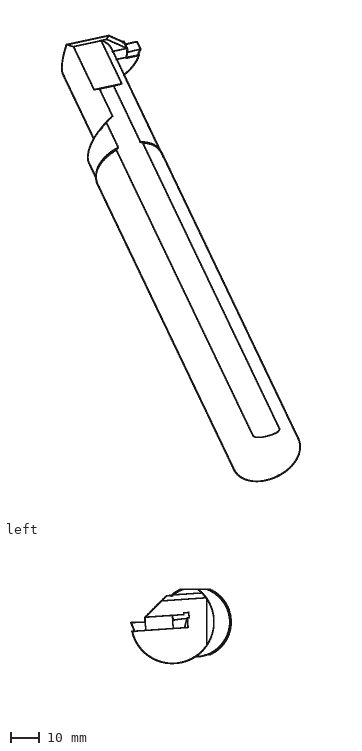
import cadquery as cq
import math

LENGTH = 200.0
SHANK_RADIUS = 25.0 / 2
SHANK_START = 54.5
SHANK_HALF_HEIGHT = 23.0 / 2
END_FILLET = 2.5
NECK_RADIUS = 12.2
NECK_Y = 0.2
STEP_LENGTH = 0.8

HEAD_RADIUS = 29.0 / 2
HEAD_Y = 8.0
FACE_X = 0.5
FLANGE_THICKNESS = 3.0
TRIM_END = 40.0
FACE_BEVEL = 2.5
SHOULDER_Y = 10.8
SHOULDER_Z = 8.5

TILT = 4.0
RELIEF_Z = 10.0
RELIEF_START = 3.5
RELIEF_END = 25.0
RELIEF_RAMP = 2.0
FRONT_DROP = 1.8

TIP_Y = HEAD_Y + HEAD_RADIUS
INSERT_Z = -0.3
INSERT_HALF_LENGTH = 9.8
INSERT_HALF_HEIGHT = 4.5 / 2
BODY_HALF_LENGTH = 4.8
TIP_V = 0.8
TIP_LAND = 2.5
BREAKER_V = 0.5
BREAKER_SLOPE = 0.2
TIP_RELIEF = 1.0
TIP_WIDTH = 3.8
POCKET_GAP = 0.2
CORNER_RELIEF = 1.8
CORNER_OVERSHOOT = 0.5

MARGIN = 40.0
tilt_angle = math.radians(TILT)
insert_y = TIP_Y - INSERT_HALF_LENGTH * math.cos(tilt_angle) - TIP_V * math.sin(tilt_angle)


def cylinder(radius, start, end, y=0.0):
    """Cylinder along X."""
    return cq.Workplane("YZ", origin=(start, y, 0)).circle(radius).extrude(end - start)


def place_insert(shape):
    """Tilt a shape from the u, v frame of the insert into the head."""
    return shape.rotate((0, 0, 0), (1, 0, 0), -TILT).translate((0, insert_y, INSERT_Z))


def make_shank():
    shank = cylinder(SHANK_RADIUS, SHANK_START, LENGTH)
    shank = shank.faces(">X").edges().fillet(END_FILLET)
    shank = shank.faces("<X").edges().chamfer(STEP_LENGTH, SHANK_RADIUS - NECK_RADIUS)
    flats = cq.Workplane("XY").box(
        2 * LENGTH + MARGIN, 2 * MARGIN, 2 * SHANK_HALF_HEIGHT)
    return shank.intersect(flats)


def make_neck():
    """Neck inside both the bar circle and the head circle, with a 45 degree flare."""
    neck = cylinder(NECK_RADIUS, FACE_X, SHANK_START, NECK_Y)
    flare = SHANK_START - TRIM_END
    envelope = (
        cq.Workplane("XY")
        .polyline([(0, 0), (0, HEAD_RADIUS), (TRIM_END, HEAD_RADIUS),
                   (SHANK_START, HEAD_RADIUS + flare), (SHANK_START, 0)])
        .close()
        .revolve(360, (0, 0, 0), (1, 0, 0))
        .translate((0, HEAD_Y, 0))
    )
    top_trim = cq.Workplane("XY", origin=(0, 0, SHANK_HALF_HEIGHT)).rect(
        2 * LENGTH, 2 * MARGIN).extrude(MARGIN)
    return neck.intersect(envelope).cut(top_trim)


def make_flange():
    """Thin head disk with a 45 degree shoulder above the insert."""
    disk = cylinder(HEAD_RADIUS, FACE_X, FACE_X + FLANGE_THICKNESS, HEAD_Y)
    shoulder = (
        cq.Workplane("YZ")
        .polyline([(SHOULDER_Y - MARGIN, SHOULDER_Z + MARGIN),
                   (SHOULDER_Y + MARGIN, SHOULDER_Z - MARGIN),
                   (SHOULDER_Y + MARGIN, SHOULDER_Z + MARGIN)])
        .close()
        .extrude(2 * FLANGE_THICKNESS)
    )
    lower_side = cq.Workplane("YZ").rect(2 * MARGIN, 2 * MARGIN).extrude(
        2 * FLANGE_THICKNESS).translate((0, 0, -MARGIN))
    return disk.cut(shoulder.cut(lower_side))


def face_bevel_cutter():
    face_edge = HEAD_Y - HEAD_RADIUS + FACE_BEVEL
    return (
        cq.Workplane("XY", origin=(0, 0, -MARGIN))
        .polyline([(FACE_X, face_edge), (FACE_X + FACE_BEVEL, face_edge - FACE_BEVEL),
                   (FACE_X + FACE_BEVEL, -MARGIN), (FACE_X, -MARGIN)])
        .close()
        .extrude(2 * MARGIN)
    )


def top_relief_cutter():
    """Front facet, relief floor and end ramp, all tilted about X."""
    return (
        cq.Workplane("XZ", origin=(0, MARGIN, 0))
        .polyline([(FACE_X, -FRONT_DROP), (RELIEF_START, 0), (RELIEF_END, 0),
                   (RELIEF_END + RELIEF_RAMP, RELIEF_RAMP),
                   (RELIEF_END + RELIEF_RAMP, MARGIN), (FACE_X, MARGIN)])
        .close()
        .extrude(2 * MARGIN)
        .rotate((0, 0, 0), (1, 0, 0), -TILT)
        .translate((0, 0, RELIEF_Z))
    )


def insert_pocket():
    """Seat open toward +Y, deeper where the wide rear tip sits."""
    rear = -INSERT_HALF_LENGTH - POCKET_GAP
    height = 2 * INSERT_HALF_HEIGHT
    seat = cq.Workplane("XY").box(
        FACE_X + FLANGE_THICKNESS, MARGIN, height,
        centered=(False, False, True)).translate((0, rear, 0))
    tip_recess = cq.Workplane("XY").box(
        TIP_WIDTH, -BODY_HALF_LENGTH - rear, height,
        centered=(False, False, True)).translate((0, rear, 0))
    corner = cq.Workplane("XY").box(
        TIP_WIDTH, CORNER_RELIEF, CORNER_RELIEF, centered=False).translate(
        (0, rear - CORNER_OVERSHOOT, INSERT_HALF_HEIGHT + CORNER_OVERSHOOT - CORNER_RELIEF))
    return place_insert(seat.union(tip_recess).union(corner))


def make_tip(direction):
    """One wide cutting tip, pointing along +u or -u."""
    profile = [(BODY_HALF_LENGTH, -INSERT_HALF_HEIGHT),
               (INSERT_HALF_LENGTH - TIP_RELIEF, -INSERT_HALF_HEIGHT),
               (INSERT_HALF_LENGTH, TIP_V),
               (INSERT_HALF_LENGTH - TIP_LAND, TIP_V),
               (BODY_HALF_LENGTH + BREAKER_SLOPE, BREAKER_V),
               (BODY_HALF_LENGTH, INSERT_HALF_HEIGHT)]
    return (
        cq.Workplane("YZ")
        .polyline([(direction * u, v) for u, v in profile])
        .close()
        .extrude(TIP_WIDTH)
    )


def make_insert():
    insert = cq.Workplane("XY").box(
        FLANGE_THICKNESS, 2 * BODY_HALF_LENGTH, 2 * INSERT_HALF_HEIGHT,
        centered=(False, True, True)).translate((FACE_X, 0, 0))
    for direction in (1, -1):
        insert = insert.union(make_tip(direction))
    return place_insert(insert)


def make_holder():
    holder = make_shank().union(make_neck()).union(make_flange())
    for cutter in (face_bevel_cutter(), top_relief_cutter(), insert_pocket()):
        holder = holder.cut(cutter)
    return holder


holder = make_holder()
grooving_insert = make_insert()
result = cq.Compound.makeCompound([holder.val(), grooving_insert.val()])